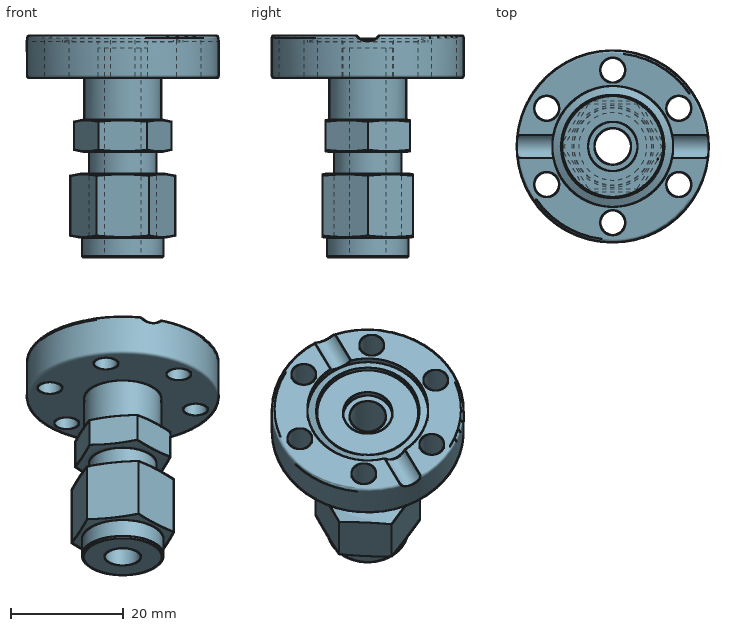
import cadquery as cq
import math

FLANGE_BOTTOM = -7.6
GLAND_HEX_TOP = -14.92
GLAND_HEX_BOTTOM = -20.65
NUT_TOP = -24.5
NUT_HEX_BOTTOM = -35.85
NUT_BOTTOM = -39.37

FLANGE_DIAMETER = 34.0
RIM_FILLET = 0.5
SPIGOT_DIAMETER = 8.75
BOLT_COUNT = 6
BOLT_HOLE_DIAMETER = 4.37
BOLT_CIRCLE_DIAMETER = 27.0

RECESS_DIAMETER = 21.4
RECESS_DEPTH = 1.22
CREST_DIAMETER = 18.3
CREST_DEPTH = 0.6
FLOOR_DIAMETER = 17.87
FLOOR_DEPTH = 1.15

GROOVE_WIDTH = 4.0
GROOVE_DEPTH = 1.05

SPIGOT_TOP = -2.3
TUBE_DIAMETER = 13.7
NECK_DIAMETER = 12.0
GLAND_ACROSS_FLATS = 15.0
BORE_DIAMETER = 6.4

NUT_ACROSS_FLATS = 16.1
COLLAR_DIAMETER = 14.5
COLLAR_CHAMFER = 0.3

HEX_BEVEL_DROP = 0.4


def cylinder(diameter, top, bottom):
    """Upright cylinder on the Z axis."""
    return cq.Workplane("XY", origin=(0, 0, bottom)).circle(diameter / 2).extrude(top - bottom)


def beveled_hexagon(across_flats, face_diameter, top, bottom):
    """Hexagonal prism with corners on the X axis and bevels around round end faces."""
    corner_diameter = across_flats / math.cos(math.pi / 6)
    corner_radius = corner_diameter / 2
    face_radius = face_diameter / 2
    prism = cq.Workplane("XY", origin=(0, 0, bottom)).polygon(6, corner_diameter).extrude(top - bottom)
    envelope = (
        cq.Workplane("XZ")
        .moveTo(0, bottom)
        .lineTo(face_radius, bottom)
        .lineTo(corner_radius, bottom + HEX_BEVEL_DROP)
        .lineTo(corner_radius, top - HEX_BEVEL_DROP)
        .lineTo(face_radius, top)
        .lineTo(0, top)
        .close()
        .revolve(360, (0, 0, 0), (0, 1, 0))
    )
    return prism.intersect(envelope)


def sealing_recess():
    """Material removed above the knife edge and the sunken floor inside it."""
    return (
        cq.Workplane("XZ")
        .lineTo(RECESS_DIAMETER / 2, 0)
        .lineTo(RECESS_DIAMETER / 2, -RECESS_DEPTH)
        .lineTo(CREST_DIAMETER / 2, -CREST_DEPTH)
        .lineTo(FLOOR_DIAMETER / 2, -FLOOR_DEPTH)
        .lineTo(0, -FLOOR_DEPTH)
        .close()
        .revolve(360, (0, 0, 0), (0, 1, 0))
    )


def leak_check_groove(side):
    """Round-bottomed groove from the recess to the rim, on the +X (1) or -X (-1) side."""
    half_width = GROOVE_WIDTH / 2
    recess_radius = RECESS_DIAMETER / 2
    start = math.sqrt(recess_radius**2 - half_width**2)
    return (
        cq.Workplane("YZ", origin=(side * start, 0, 0))
        .moveTo(-half_width, 0)
        .threePointArc((0, -GROOVE_DEPTH), (half_width, 0))
        .close()
        .extrude(side * (FLANGE_DIAMETER / 2))
    )


def make_flange():
    body = cylinder(FLANGE_DIAMETER, 0, FLANGE_BOTTOM).edges().fillet(RIM_FILLET)
    body = body.cut(sealing_recess()).cut(cylinder(SPIGOT_DIAMETER, 0, FLANGE_BOTTOM))
    bolt_holes = (
        cq.Workplane("XY", origin=(0, 0, FLANGE_BOTTOM))
        .polarArray(BOLT_CIRCLE_DIAMETER / 2, 90, 360, BOLT_COUNT)
        .circle(BOLT_HOLE_DIAMETER / 2)
        .extrude(-FLANGE_BOTTOM)
    )
    body = body.cut(bolt_holes)
    for side in (-1, 1):
        body = body.cut(leak_check_groove(side))
    return body


def make_gland():
    """Bored gland: spigot in the flange, tube, wrench hexagon and neck in the nut."""
    body = cylinder(SPIGOT_DIAMETER, SPIGOT_TOP, FLANGE_BOTTOM)
    body = body.union(cylinder(TUBE_DIAMETER, FLANGE_BOTTOM, GLAND_HEX_TOP))
    hexagon = beveled_hexagon(GLAND_ACROSS_FLATS, TUBE_DIAMETER, GLAND_HEX_TOP, GLAND_HEX_BOTTOM)
    body = body.union(hexagon)
    body = body.union(cylinder(NECK_DIAMETER, GLAND_HEX_BOTTOM, NUT_HEX_BOTTOM))
    return body.cut(cylinder(BORE_DIAMETER, SPIGOT_TOP, NUT_HEX_BOTTOM))


def make_nut():
    """Hexagonal nut with a round collar, socketed over the neck of the gland."""
    collar = cylinder(COLLAR_DIAMETER, NUT_HEX_BOTTOM, NUT_BOTTOM).faces("<Z").chamfer(COLLAR_CHAMFER)
    hexagon = beveled_hexagon(NUT_ACROSS_FLATS, COLLAR_DIAMETER, NUT_TOP, NUT_HEX_BOTTOM)
    body = hexagon.union(collar)
    body = body.cut(cylinder(NECK_DIAMETER, NUT_TOP, NUT_HEX_BOTTOM))
    return body.cut(cylinder(BORE_DIAMETER, NUT_HEX_BOTTOM, NUT_BOTTOM))


flange = make_flange()
gland = make_gland()
nut = make_nut()

result = cq.Compound.makeCompound([flange.val(), gland.val(), nut.val()])